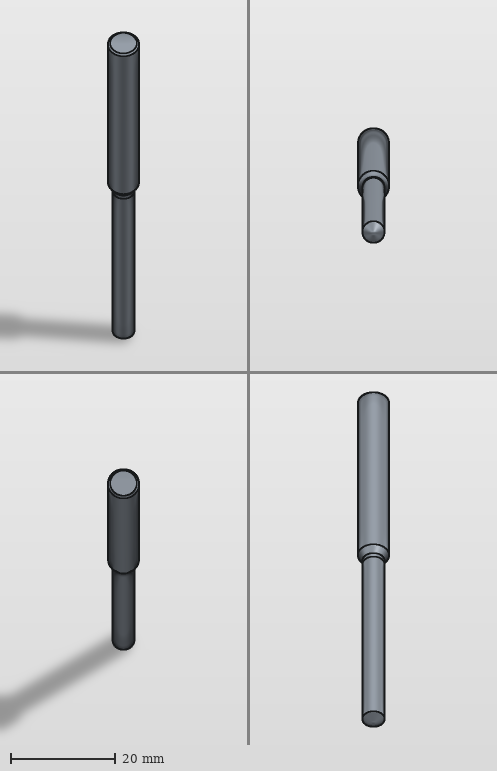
import cadquery as cq
import math

total_length = 87.0
shank_diameter = 6.0
drill_diameter = 4.3
shank_radius = shank_diameter / 2
drill_radius = drill_diameter / 2

cutter_length = 43.1
neck_length = 1.0
shoulder_angle = 30.0
chamfer_width = 0.4
chamfer_height = 0.35

point_angle = 118.0


def cone_height(radius_change, half_angle):
    """Axial length of a cone whose side leans half_angle degrees from the axis."""
    return radius_change / math.tan(math.radians(half_angle))


def revolve_profile(points):
    """Solid of revolution about Z from a closed (radius, z) outline."""
    return (
        cq.Workplane("XZ")
        .polyline(points)
        .close()
        .revolve(360, (0, 0, 0), (0, 1, 0))
    )


def make_shank():
    """Plain shank with a chamfered top, a conical shoulder and a short neck."""
    neck_top = cutter_length + neck_length
    shoulder_top = neck_top + cone_height(shank_radius - drill_radius, shoulder_angle)
    return revolve_profile([
        (0, cutter_length),
        (drill_radius, cutter_length),
        (drill_radius, neck_top),
        (shank_radius, shoulder_top),
        (shank_radius, total_length - chamfer_height),
        (shank_radius - chamfer_width, total_length),
        (0, total_length),
    ])


def make_cutter():
    """Cylindrical cutting part ending in a conical point at the origin."""
    point_height = cone_height(drill_radius, point_angle / 2)
    return revolve_profile([
        (0, 0),
        (drill_radius, point_height),
        (drill_radius, cutter_length),
        (0, cutter_length),
    ])


shank = make_shank()
cutter = make_cutter()
result = cq.Compound.makeCompound([shank.val(), cutter.val()])